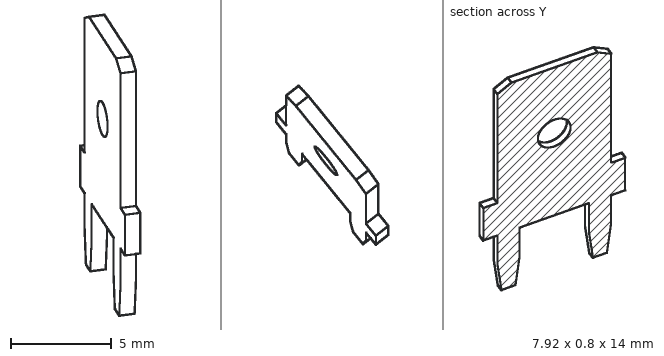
import cadquery as cq

height = 14.02
thickness = 0.8
shoulder_width = 7.92

blade_width = 6.35
corner_run = 0.79
corner_drop = 0.45
hole_diameter = 1.8
hole_height = 9.5

shoulder_top = 6.1
shoulder_bottom = 3.84
leg_width = 1.26
tip_width = 0.8
taper_height = 1.89

back_plane = cq.Workplane("XZ", origin=(0, thickness / 2, 0))


def make_body():
    """Blade and shoulders as one flat plate, symmetric about X = 0."""
    half_blade = blade_width / 2
    half_shoulder = shoulder_width / 2
    right_side = [
        (half_shoulder, shoulder_bottom),
        (half_shoulder, shoulder_top),
        (half_blade, shoulder_top),
        (half_blade, height - corner_drop),
        (half_blade - corner_run, height),
    ]
    left_side = [(-x, z) for x, z in reversed(right_side)]
    return back_plane.polyline(right_side + left_side).close().extrude(thickness)


def make_leg(center_x):
    """Straight solder leg that tapers on both edges to a flat tip."""
    right_side = [
        (tip_width / 2, 0),
        (leg_width / 2, taper_height),
        (leg_width / 2, shoulder_bottom),
    ]
    left_side = [(-x, z) for x, z in reversed(right_side)]
    outline = [(center_x + x, z) for x, z in right_side + left_side]
    return back_plane.polyline(outline).close().extrude(thickness)


result = make_body()

leg_offset = (blade_width - leg_width) / 2
for center_x in (-leg_offset, leg_offset):
    result = result.union(make_leg(center_x))

hole = back_plane.center(0, hole_height).circle(hole_diameter / 2).extrude(thickness)
result = result.cut(hole)